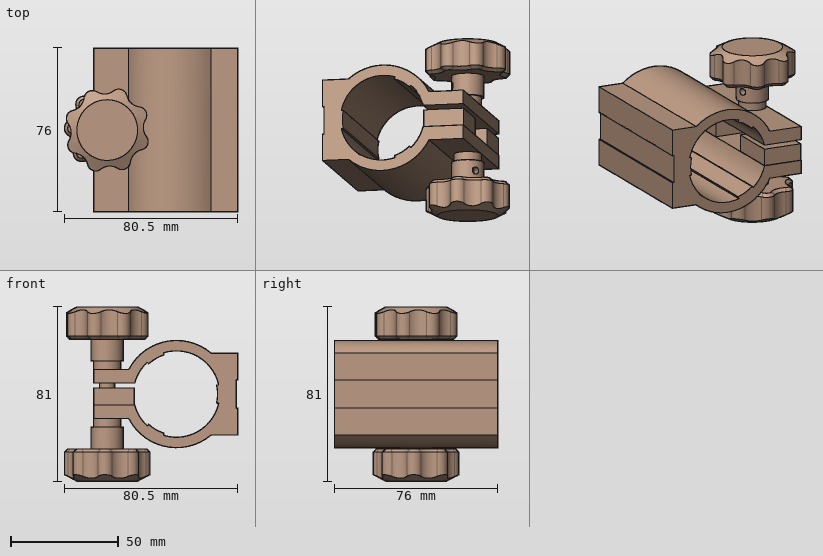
import cadquery as cq
import math

clamp_length = 76.0
ring_radius = 24.95
bore_radius = 20.0
jaw_end_x = -38.5
jaw_gap = 10.05
jaw_outer_z = 11.4

pad_radius = 19.0
pad_half_angle = 12.6
pad_count = 3

block_face_x = 28.5
block_height = 38.1
recess_height = 13.1
recess_depth = 0.7

spacer_length = 18.95
spacer_height = 7.9
spacer_inner_y = 12.6
spacer_outer_y = 37.6

rod_x = -32.15
rod_diameter = 7.2
collar_diameter = 12.8
collar_height = 4.0

hub_diameter = 15.1
hub_height = 10.05
set_hole_diameter = 3.2

lobe_count = 8
lobe_tip_radius = 19.9
lobe_valley_radius = 16.8
lobe_rounding = 3.9
head_edge_chamfer = 1.5
head_face_radius = 14.1
head_cone_drop = 3.1
head_end_z = 40.5
upper_knob_turn = 25.5
lower_knob_turn = 132.0

hub_start_z = jaw_outer_z + collar_height
head_start_z = hub_start_z + hub_height


def rod_cylinder(diameter, bottom_z, top_z):
    """Cylinder on the rod axis between two heights."""
    return (
        cq.Workplane("XY", origin=(rod_x, 0, bottom_z))
        .circle(diameter / 2)
        .extrude(top_z - bottom_z)
    )


def y_cylinder(radius):
    """Cylinder on the bore axis, as long as the clamp."""
    return cq.Workplane("XZ").circle(radius).extrude(clamp_length / 2, both=True)


def make_bore():
    """Bore cutter, reduced to the pad radius over each grip pad."""
    wall_reach = 2 * bore_radius
    half_width = wall_reach * math.tan(math.radians(pad_half_angle))
    wedge = (
        cq.Workplane("XZ")
        .polyline([(0, 0), (wall_reach, -half_width), (wall_reach, half_width)])
        .close()
        .extrude(clamp_length / 2, both=True)
    )
    bore = y_cylinder(bore_radius)
    for index in range(pad_count):
        bore = bore.cut(wedge.rotate((0, 0, 0), (0, 1, 0), index * 360 / pad_count))
    return bore.union(y_cylinder(pad_radius))


def make_clamp():
    """Split ring with two jaws and a mounting block, cut by the bore, gap and rod hole."""
    jaws = cq.Workplane("XY").box(
        -jaw_end_x, clamp_length, 2 * jaw_outer_z, centered=(False, True, True)
    ).translate((jaw_end_x, 0, 0))
    block = cq.Workplane("XY").box(
        block_face_x, clamp_length, block_height, centered=(False, True, True)
    )
    gap = cq.Workplane("XY").box(
        -jaw_end_x, clamp_length, jaw_gap, centered=(False, True, True)
    ).translate((jaw_end_x, 0, 0))
    recess = cq.Workplane("XY").box(
        recess_depth, clamp_length, recess_height, centered=(False, True, True)
    ).translate((block_face_x - recess_depth, 0, 0))
    body = y_cylinder(ring_radius).union(jaws).union(block)
    body = body.cut(make_bore()).cut(gap).cut(recess)
    return body.cut(rod_cylinder(rod_diameter, -jaw_outer_z, jaw_outer_z))


def make_spacer(side):
    """Rectangular block on the lower jaw; side is +1 or -1 along Y."""
    return cq.Workplane("XY").box(
        spacer_length, spacer_outer_y - spacer_inner_y, spacer_height, centered=(False, True, False)
    ).translate((jaw_end_x, side * (spacer_inner_y + spacer_outer_y) / 2, -jaw_gap / 2))


def make_rod():
    """Plain rod reaching through both jaws and collars to the full depth of both hubs."""
    return rod_cylinder(rod_diameter, -head_start_z, head_start_z)


def make_collar(side):
    """Ring between a jaw and a knob hub; side is +1 for the upper one, -1 for the lower."""
    collar = rod_cylinder(collar_diameter, jaw_outer_z, hub_start_z).cut(
        rod_cylinder(rod_diameter, jaw_outer_z, hub_start_z)
    )
    return collar if side > 0 else collar.mirror("XY")


def polar(radius, angle):
    """Point at a radius and an angle in degrees."""
    return (
        radius * math.cos(math.radians(angle)),
        radius * math.sin(math.radians(angle)),
    )


def lobe_outline(start_z):
    """Closed outline of tangent arcs: rounded lobes with hollow valleys, first lobe tip on +X."""
    half_pitch = 180 / lobe_count
    tip_centre = lobe_tip_radius - lobe_rounding
    along = tip_centre * math.cos(math.radians(half_pitch))
    across = tip_centre * math.sin(math.radians(half_pitch))
    valley_rounding = ((along - lobe_valley_radius) ** 2 + across**2 - lobe_rounding**2) / (
        2 * (lobe_rounding + along - lobe_valley_radius)
    )
    valley_centre = polar(lobe_valley_radius + valley_rounding, half_pitch)
    share = lobe_rounding / (lobe_rounding + valley_rounding)
    joint_x = tip_centre + share * (valley_centre[0] - tip_centre)
    joint_y = share * valley_centre[1]
    joint_radius = math.hypot(joint_x, joint_y)
    joint_angle = math.degrees(math.atan2(joint_y, joint_x))

    outline = cq.Workplane("XY", origin=(0, 0, start_z)).moveTo(*polar(joint_radius, -joint_angle))
    for index in range(lobe_count):
        tip = 2 * half_pitch * index
        outline = outline.threePointArc(
            polar(lobe_tip_radius, tip), polar(joint_radius, tip + joint_angle)
        )
        outline = outline.threePointArc(
            polar(lobe_valley_radius, tip + half_pitch),
            polar(joint_radius, tip + 2 * half_pitch - joint_angle),
        )
    return outline.close()


def make_knob_head():
    """Lobed head, chamfered on the hub side and coned on the outer side."""
    head = lobe_outline(head_start_z).extrude(head_end_z - head_start_z)
    head = head.faces("<Z").chamfer(head_edge_chamfer)
    coned_envelope = (
        cq.Workplane("XZ")
        .moveTo(0, head_start_z)
        .lineTo(lobe_tip_radius, head_start_z)
        .lineTo(lobe_tip_radius, head_end_z - head_cone_drop)
        .lineTo(head_face_radius, head_end_z)
        .lineTo(0, head_end_z)
        .close()
        .revolve(360, (0, 0, 0), (0, 1, 0))
    )
    return head.intersect(coned_envelope)


def make_knob(side, turn):
    """Knob whose blind hub bore takes the rod, with a radial set hole under a lobe tip."""
    hub = cq.Workplane("XY", origin=(0, 0, hub_start_z)).circle(hub_diameter / 2).extrude(hub_height)
    rod_bore = (
        cq.Workplane("XY", origin=(0, 0, hub_start_z)).circle(rod_diameter / 2).extrude(hub_height)
    )
    set_hole = (
        cq.Workplane("YZ", origin=(0, 0, hub_start_z + hub_height / 2))
        .circle(set_hole_diameter / 2)
        .extrude(hub_diameter / 2)
    )
    knob = make_knob_head().union(hub).cut(rod_bore).cut(set_hole)
    if side < 0:
        knob = knob.mirror("XY")
    return knob.rotate((0, 0, 0), (0, 0, 1), turn).translate((rod_x, 0, 0))


clamp = make_clamp()
rod = make_rod()
spacers = [make_spacer(side) for side in (1, -1)]
collars = [make_collar(side) for side in (1, -1)]
knobs = [make_knob(side, turn) for side, turn in ((1, upper_knob_turn), (-1, lower_knob_turn))]

bodies = [clamp, rod, *spacers, *collars, *knobs]
result = cq.Compound.makeCompound([body.val() for body in bodies])